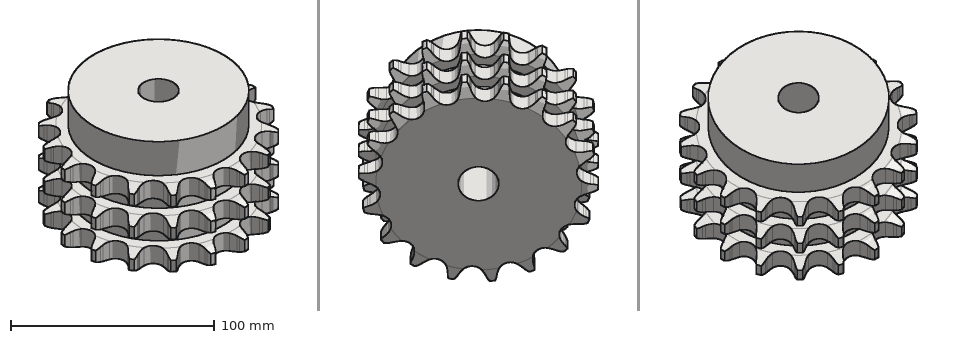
import cadquery as cq
import math


TOOTH_COUNT = 18
STRAND_COUNT = 3
OUTER_RADIUS = 59.0
PITCH_RADIUS = 54.9
HUB_DIAMETER = 89.0
BORE_DIAMETER = 20.0
TOTAL_HEIGHT = 70.0
ROW_WIDTH = 10.7
STRAND_SPACING = 19.5

SHOULDER_START_RADIUS = 50.6
SHOULDER_ARC_RADIUS = 19.0

SEAT_ARC_RADIUS = 6.1
WORKING_ARC_RADIUS = 15.8
FLANK_STRAIGHT = 1.4
TIP_ARC_RADIUS = 10.0

SEAT_ANGLE = math.radians(35 + 60 / TOOTH_COUNT)
WORKING_ANGLE = math.radians(18 - 56 / TOOTH_COUNT)
TIP_ANGLE = math.radians(28)


def arc_point(center, radius, angle):
    """Point on a circle at the given angle from +X."""
    return (center[0] + radius * math.cos(angle), center[1] + radius * math.sin(angle))


def mirrored(point):
    """Reflect a point across the gap's line of symmetry."""
    return (-point[0], point[1])


def row_blank():
    """Untoothed disc whose outer corners curve in towards the rim."""
    shoulder_reach = OUTER_RADIUS - SHOULDER_START_RADIUS
    end_angle = math.acos(shoulder_reach / SHOULDER_ARC_RADIUS)
    mid_angle = (math.pi / 2 + end_angle) / 2
    lower_center = (SHOULDER_START_RADIUS, SHOULDER_ARC_RADIUS)
    upper_center = (SHOULDER_START_RADIUS, ROW_WIDTH - SHOULDER_ARC_RADIUS)
    return (
        cq.Workplane("XZ")
        .lineTo(SHOULDER_START_RADIUS, 0)
        .threePointArc(
            arc_point(lower_center, SHOULDER_ARC_RADIUS, -mid_angle),
            arc_point(lower_center, SHOULDER_ARC_RADIUS, -end_angle),
        )
        .lineTo(*arc_point(upper_center, SHOULDER_ARC_RADIUS, end_angle))
        .threePointArc(
            arc_point(upper_center, SHOULDER_ARC_RADIUS, mid_angle),
            (SHOULDER_START_RADIUS, ROW_WIDTH),
        )
        .lineTo(0, ROW_WIDTH)
        .close()
        .revolve(360, (0, 0), (0, 1))
    )


def tooth_gap():
    """Cutter for one gap between teeth, centred on +Y."""
    roller_center = (0, PITCH_RADIUS)
    seat_end_angle = -SEAT_ANGLE
    straight_angle = seat_end_angle + WORKING_ANGLE

    working_center = arc_point(roller_center, SEAT_ARC_RADIUS - WORKING_ARC_RADIUS, seat_end_angle)
    straight_start = arc_point(working_center, WORKING_ARC_RADIUS, straight_angle)
    straight_end = arc_point(straight_start, FLANK_STRAIGHT, straight_angle + math.pi / 2)
    tip_center = arc_point(straight_end, TIP_ARC_RADIUS, straight_angle)

    root = (0, PITCH_RADIUS - SEAT_ARC_RADIUS)
    seat_end = arc_point(roller_center, SEAT_ARC_RADIUS, seat_end_angle)
    working_mid = arc_point(working_center, WORKING_ARC_RADIUS, (seat_end_angle + straight_angle) / 2)
    tip_mid = arc_point(tip_center, -TIP_ARC_RADIUS, straight_angle - TIP_ANGLE / 2)
    tip_end = arc_point(tip_center, -TIP_ARC_RADIUS, straight_angle - TIP_ANGLE)

    return (
        cq.Workplane("XY")
        .moveTo(*mirrored(seat_end))
        .threePointArc(root, seat_end)
        .threePointArc(working_mid, straight_start)
        .lineTo(*straight_end)
        .threePointArc(tip_mid, tip_end)
        .lineTo(*mirrored(tip_end))
        .threePointArc(mirrored(tip_mid), mirrored(straight_end))
        .lineTo(*mirrored(straight_start))
        .threePointArc(mirrored(working_mid), mirrored(seat_end))
        .close()
        .extrude(ROW_WIDTH)
    )


def toothed_row():
    """One sprocket row, with a tooth centred on +X."""
    tooth_step = 360 / TOOTH_COUNT
    first_gap = tooth_gap().rotate((0, 0, 0), (0, 0, 1), tooth_step / 2 - 90)
    gaps = [
        first_gap.rotate((0, 0, 0), (0, 0, 1), index * tooth_step).val()
        for index in range(TOOTH_COUNT)
    ]
    return row_blank().cut(cq.Workplane(cq.Compound.makeCompound(gaps)))


sprocket = cq.Workplane("XY").circle(HUB_DIAMETER / 2).extrude(TOTAL_HEIGHT)
row = toothed_row()
for strand in range(STRAND_COUNT):
    sprocket = sprocket.union(row.translate((0, 0, strand * STRAND_SPACING)))

bore = cq.Workplane("XY").circle(BORE_DIAMETER / 2).extrude(TOTAL_HEIGHT)
result = sprocket.cut(bore)